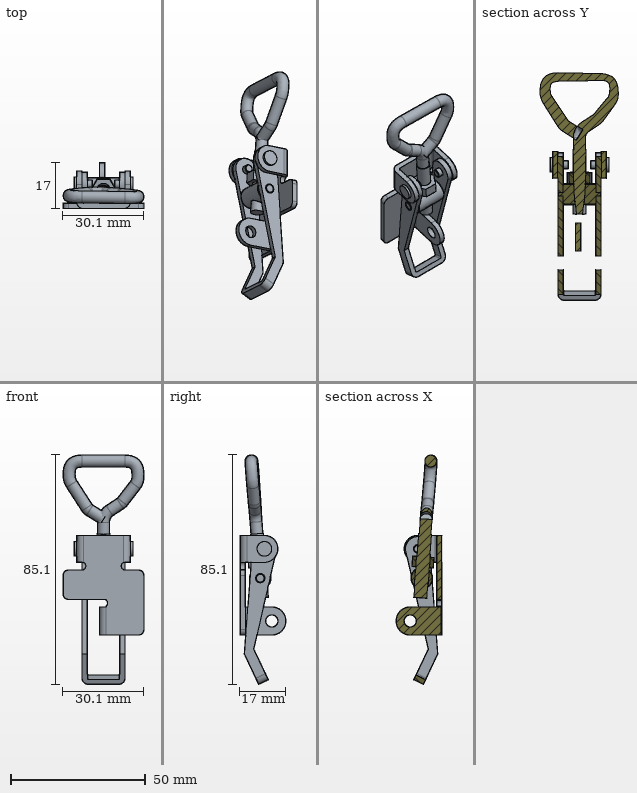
import cadquery as cq
import math


total_height = 85.1

lever_half_width = 16.0 / 2
ear_half_width = 20.0 / 2
sheet = ear_half_width - lever_half_width
lever_half_gap = lever_half_width - sheet
inner_bend = 0.5
outer_bend = inner_bend + sheet

plate_half_width = 30.0 / 2
plate_corner = 2.0
plate_top = 55.3
tab_top = 42.45
tab_bottom = 31.5
plate_bottom = 18.3
ear_radius = 5.0
relief_radius = 1.45
pivot_y = 9.0
pivot_z = plate_top - ear_radius
lug_left = -1.5
lug_reach = 17
lug_radius = 10.5 / 2
lug_y = lug_reach - lug_radius
lug_z = plate_bottom + lug_radius
lug_hole_radius = 2.2
slot_right = 1.45

rivet_radius = 1.5
rivet_inner_end = 4.0
rivet_head_radius = 2.7
rivet_head_height = 0.9
edge_chamfer = 0.25

lever_eye_radius = 4.5
grip_width = 4.0
grip_angle = 25.6
grip_tip = (6.9, 0)
front_knee = (1.5, 11.3)
back_knee = (5.1, 13.1)

trunnion_y = 7.5
trunnion_z = 39.4
barrel_radius = 4.0
trunnion_pin_radius = 1.7

hook_lean = 4.3
loop_twist = 1.0
wire_radius = 4.5 / 2
thread_radius = 2.5
thread_bottom = -7.3
thread_top = 16.5
stem_bend_radius = 5.1
stem_corner = (0, 23.65)
right_knee = (6.7, 28.1)
right_leg_top = (11.8, 34.7)
loop_half_bar = 8.0
loop_half_width = 12.8
loop_widest_v = 38.7
loop_top = (total_height - wire_radius - trunnion_z) / math.cos(math.radians(hook_lean))
left_leg_top = (-11.8, 35.05)
left_knee = (-5.8, 25.7)
left_leg_end = (0, 22.0)
knee_radius = 3.4

nut_flats = 8.0
nut_height = 4.0
nut_chamfer = 0.2


def cylinder_x(radius, x_start, x_end, y, z):
    """Cylinder along X between two X positions."""
    start = cq.Vector(x_start, y, z)
    return cq.Workplane(cq.Solid.makeCylinder(radius, x_end - x_start, start, cq.Vector(1, 0, 0)))


def block(x_range, y_range, z_range):
    """Axis-aligned box between pairs of limits."""
    (x0, x1), (y0, y1), (z0, z1) = x_range, y_range, z_range
    return cq.Workplane().box(x1 - x0, y1 - y0, z1 - z0, centered=False).translate((x0, y0, z0))


def bent_flange(x_outer, inward, eye_y, eye_z, eye_radius):
    """Flange bent up from the plate, with a round end; inward is +1 or -1 along X."""
    x_inner = x_outer + inward * sheet
    x_root = x_outer + inward * outer_bend
    bend_45 = math.sqrt(0.5)
    web = (
        cq.Workplane("XY", origin=(0, 0, eye_z - eye_radius))
        .moveTo(x_root, 0)
        .threePointArc(
            (x_root - inward * outer_bend * bend_45, outer_bend * (1 - bend_45)),
            (x_outer, outer_bend),
        )
        .lineTo(x_outer, eye_y)
        .lineTo(x_inner, eye_y)
        .lineTo(x_inner, outer_bend)
        .threePointArc(
            (x_root - inward * inner_bend * bend_45, outer_bend - inner_bend * bend_45),
            (x_root, sheet),
        )
        .close()
        .extrude(2 * eye_radius)
    )
    x_range = sorted((x_outer, x_inner))
    return web.union(cylinder_x(eye_radius, *x_range, eye_y, eye_z))


def make_plate():
    """Base plate with two bearing ears, a left tab, a padlock lug and bend reliefs."""
    neck_half_width = ear_half_width - outer_bend
    lug_top = lug_z + lug_radius

    body = block((-plate_half_width, plate_half_width), (0, sheet), (tab_bottom, tab_top))
    lower = block((lug_left + outer_bend, plate_half_width), (0, sheet), (plate_bottom, tab_top))
    body = body.union(lower)
    body = body.edges("|Y and (<X or >X)").fillet(plate_corner)
    body = body.union(
        block((-neck_half_width, neck_half_width), (0, sheet), (tab_top, plate_top))
    )

    relief_z = tab_top + relief_radius
    for side in (-1, 1):
        relief = (
            cq.Workplane("XZ", origin=(side * lever_half_width, 0, relief_z))
            .circle(relief_radius)
            .extrude(-sheet)
        )
        body = body.cut(relief)

    slot_radius = (tab_bottom - lug_top) / 2
    slot_centre_x = slot_right - slot_radius
    slot_end = (
        cq.Workplane("XZ", origin=(slot_centre_x, 0, lug_top + slot_radius))
        .circle(slot_radius)
        .extrude(-sheet)
    )
    body = body.cut(slot_end)
    body = body.cut(block((lug_left, slot_centre_x), (0, sheet), (lug_top, tab_bottom)))

    for side in (-1, 1):
        ear = bent_flange(side * ear_half_width, -side, pivot_y, pivot_z, ear_radius)
        body = body.union(ear)
    body = body.union(bent_flange(lug_left, 1, lug_y, lug_z, lug_radius))

    body = body.cut(
        cylinder_x(rivet_radius, -ear_half_width, ear_half_width, pivot_y, pivot_z)
    )
    return body.cut(cylinder_x(lug_hole_radius, lug_left, lug_left + sheet, lug_y, lug_z))


def tangent_point(corner, back_side):
    """Point where the line from a lever knee touches the circle of the lever eye."""
    dy = corner[0] - pivot_y
    dz = corner[1] - pivot_z
    turn = math.acos(lever_eye_radius / math.hypot(dy, dz))
    angle = math.atan2(dz, dy) + (turn if back_side else -turn)
    return (
        pivot_y + lever_eye_radius * math.cos(angle),
        pivot_z + lever_eye_radius * math.sin(angle),
    )


def make_lever():
    """U-shaped lever: two arms with an eye at the top, joined by a bent bar at the free end."""
    lean = math.radians(grip_angle)
    back_tip = (
        grip_tip[0] + grip_width * math.cos(lean),
        grip_tip[1] + grip_width * math.sin(lean),
    )
    lever = (
        cq.Workplane("YZ", origin=(-lever_half_width, 0, 0))
        .moveTo(*grip_tip)
        .lineTo(*front_knee)
        .lineTo(*tangent_point(front_knee, False))
        .threePointArc((pivot_y, pivot_z + lever_eye_radius), tangent_point(back_knee, True))
        .lineTo(*back_knee)
        .lineTo(*back_tip)
        .close()
        .extrude(2 * lever_half_width)
    )

    grip_normal = (0, -math.cos(lean), -math.sin(lean))
    grip_plane = cq.Plane(origin=(0, *grip_tip), xDir=(1, 0, 0), normal=grip_normal)
    reach = 2 * pivot_z
    gap = (
        cq.Workplane(grip_plane)
        .center(0, sheet + reach / 2)
        .rect(2 * lever_half_gap, reach)
        .extrude(reach, both=True)
        .edges(cq.selectors.ParallelDirSelector(cq.Vector(*grip_normal)))
        .fillet(inner_bend)
    )

    tip_middle_y = (grip_tip[0] + back_tip[0]) / 2
    tip_middle_z = (grip_tip[1] + back_tip[1]) / 2
    margin = grip_width / 4
    near_tip = cq.selectors.BoxSelector(
        (-2 * lever_half_width, tip_middle_y - margin, tip_middle_z - margin),
        (2 * lever_half_width, tip_middle_y + margin, tip_middle_z + margin),
    )
    lever = lever.edges(near_tip).fillet(outer_bend).cut(gap)

    lever = lever.cut(
        cylinder_x(rivet_radius, -lever_half_width, lever_half_width, pivot_y, pivot_z)
    )
    return lever.cut(
        cylinder_x(trunnion_pin_radius, -lever_half_width, lever_half_width, trunnion_y, trunnion_z)
    )


def make_rivet(side):
    """Headed rivet through one ear and one lever arm; side is -1 for left and +1 for right."""
    head_outer = ear_half_width + rivet_head_height
    shank = cylinder_x(rivet_radius, rivet_inner_end, ear_half_width, pivot_y, pivot_z)
    shank = shank.faces("<X").chamfer(edge_chamfer)
    head = cylinder_x(rivet_head_radius, ear_half_width, head_outer, pivot_y, pivot_z)
    rivet = shank.union(head)
    return rivet if side > 0 else rivet.mirror("YZ")


def in_hook_frame(body):
    """Move a body from the hook frame (u = X, v = Z, origin on the trunnion axis) into place."""
    return (
        body.rotate((0, 0, 0), (1, 0, 0), hook_lean)
        .translate((0, trunnion_y, trunnion_z))
    )


def thread_cylinder():
    """Threaded end of the hook stem, in the hook frame."""
    return (
        cq.Workplane("XY", origin=(0, 0, thread_bottom))
        .circle(thread_radius)
        .extrude(thread_top - thread_bottom)
    )


def unit(start, end):
    """Unit direction from one (u, v) point to another."""
    length = math.dist(start, end)
    return ((end[0] - start[0]) / length, (end[1] - start[1]) / length)


def rounded_corner(path, before, corner, after, radius):
    """Run a path up to a corner and round it with a tangent arc."""
    to_before = unit(corner, before)
    to_after = unit(corner, after)
    half_angle = math.acos(to_before[0] * to_after[0] + to_before[1] * to_after[1]) / 2
    tangent_length = radius / math.tan(half_angle)
    bisector = unit((0, 0), (to_before[0] + to_after[0], to_before[1] + to_after[1]))
    mid_distance = radius / math.sin(half_angle) - radius
    first = [c + tangent_length * d for c, d in zip(corner, to_before)]
    middle = [c + mid_distance * d for c, d in zip(corner, bisector)]
    last = [c + tangent_length * d for c, d in zip(corner, to_after)]
    return path.lineTo(*first).threePointArc(middle, last)


def make_hook():
    """Wire bent into a closed loop on a stem with a threaded end."""
    stem_start = (0, thread_top)
    right_side = (loop_half_width, loop_widest_v)
    left_side = (-loop_half_width, loop_widest_v)
    bar_right = (loop_half_bar, loop_top)
    bar_left = (-loop_half_bar, loop_top)

    path = cq.Workplane("XZ").moveTo(*stem_start)
    path = rounded_corner(path, stem_start, stem_corner, right_knee, stem_bend_radius)
    path = rounded_corner(path, stem_corner, right_knee, right_leg_top, knee_radius)
    path = path.lineTo(*right_leg_top)
    path = path.spline(
        [right_side, bar_right],
        tangents=[unit(right_knee, right_leg_top), (0, 1), (-1, 0)],
        includeCurrent=True,
    )
    path = path.lineTo(*bar_left)
    path = path.spline(
        [left_side, left_leg_top],
        tangents=[(-1, 0), (0, -1), unit(left_leg_top, left_knee)],
        includeCurrent=True,
    )
    path = rounded_corner(path, left_leg_top, left_knee, left_leg_end, knee_radius)
    path = path.lineTo(*left_leg_end)

    wire = cq.Workplane("XY", origin=(0, 0, thread_top)).circle(wire_radius).sweep(path)
    hook = wire.union(thread_cylinder())
    return in_hook_frame(hook.rotate((0, 0, 0), (0, 0, 1), -loop_twist))


def make_nut():
    """Hexagonal lock nut seated on the trunnion barrel."""
    corner_diameter = nut_flats / math.cos(math.pi / 6)
    nut = (
        cq.Workplane("XY", origin=(0, 0, barrel_radius))
        .polygon(6, corner_diameter)
        .extrude(nut_height)
    )
    envelope = (
        cq.Workplane("XY", origin=(0, 0, barrel_radius))
        .circle(corner_diameter / 2)
        .extrude(nut_height)
        .edges("<Z")
        .chamfer(nut_chamfer, corner_diameter / 2 - nut_flats / 2 + nut_chamfer)
    )
    return in_hook_frame(nut.intersect(envelope).cut(thread_cylinder()))


def make_trunnion():
    """Cross barrel with a pin at each end and a bore for the hook thread."""
    barrel = cylinder_x(barrel_radius, -lever_half_gap, lever_half_gap, 0, 0)
    barrel = barrel.edges().chamfer(edge_chamfer)
    pins = cylinder_x(trunnion_pin_radius, -lever_half_width, lever_half_width, 0, 0)
    pins = pins.edges().chamfer(edge_chamfer)
    return in_hook_frame(barrel.union(pins).cut(thread_cylinder()))


plate = make_plate()
lever = make_lever()
rivets = [make_rivet(side) for side in (-1, 1)]
trunnion = make_trunnion()
nut = make_nut()
hook = make_hook()

result = cq.Compound.makeCompound(
    [
        plate.solids().val(),
        lever.solids().val(),
        *[rivet.solids().val() for rivet in rivets],
        trunnion.solids().val(),
        nut.solids().val(),
        hook.solids().val(),
    ]
)